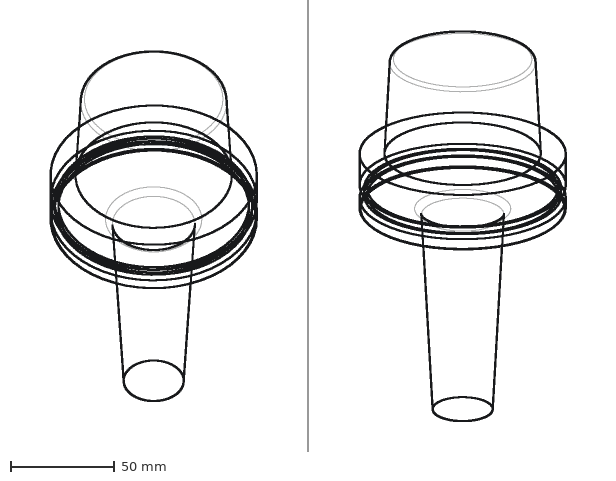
import cadquery as cq
import math

total_length = 185.0
shank_length = 50.0
flange_thickness = 29.0
flange_top = total_length - shank_length
flange_bottom = flange_top - flange_thickness

shank_base_radius = 38.0
shank_top_radius = 35.3
shank_top_fillet = 1.8

flange_radius = 50.05
flange_edge_chamfer = 0.5
groove_floor_radius = 46.2
groove_width = 3.5
groove_lip_height = 1.7
groove_lip_depth = 2.2
groove_center = 115.0

nose_tip_radius = 14.6
nose_half_angle = math.radians(3.0)
nose_root_radius = nose_tip_radius + flange_bottom * math.tan(nose_half_angle)
nose_root_fillet = 3.3


def make_shank():
    shank = (
        cq.Workplane("XY", origin=(0, 0, flange_top))
        .circle(shank_base_radius)
        .workplane(offset=shank_length)
        .circle(shank_top_radius)
        .loft()
    )
    return shank.faces(">Z").edges().fillet(shank_top_fillet)


def make_groove():
    wall_half = groove_width / 2
    mouth_half = wall_half + groove_lip_height
    lip_radius = flange_radius - groove_lip_depth
    return (
        cq.Workplane("XZ")
        .moveTo(groove_floor_radius, groove_center - wall_half)
        .lineTo(lip_radius, groove_center - wall_half)
        .lineTo(flange_radius, groove_center - mouth_half)
        .lineTo(flange_radius, groove_center + mouth_half)
        .lineTo(lip_radius, groove_center + wall_half)
        .lineTo(groove_floor_radius, groove_center + wall_half)
        .close()
        .revolve(360, (0, 0, 0), (0, 1, 0))
    )


def make_flange():
    flange = (
        cq.Workplane("XY", origin=(0, 0, flange_bottom))
        .circle(flange_radius)
        .extrude(flange_thickness)
        .faces("<Z")
        .edges()
        .chamfer(flange_edge_chamfer)
    )
    return flange.cut(make_groove())


def make_nose():
    return (
        cq.Workplane("XY")
        .circle(nose_tip_radius)
        .workplane(offset=flange_bottom)
        .circle(nose_root_radius)
        .loft()
    )


body = make_flange().union(make_nose()).union(make_shank())

match_tolerance = 0.02
root_edges = [
    edge
    for edge in body.edges("%CIRCLE").vals()
    if abs(edge.Center().z - flange_bottom) < match_tolerance and edge.radius() < groove_floor_radius
]
result = body.newObject(root_edges).fillet(nose_root_fillet)